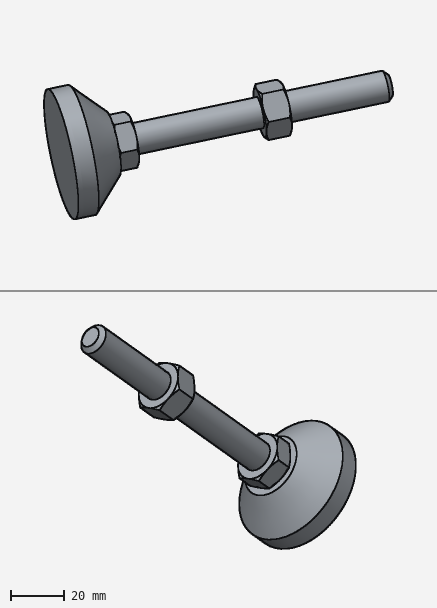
import cadquery as cq
import math

total_length = 128.0

foot_diameter = 50.0
sole_thickness = 2.0
rim_height = 8.0
foot_height = 20.0
foot_top_diameter = 25.0

rod_diameter = 12.0
rod_chamfer = 1.9

across_flats = 19.0
fixed_hex_height = 8.0
lock_nut_height = 10.0
lock_nut_start = 77.3
hex_chamfer_angle = 30.0


def revolve_about_axis(points):
    """Revolve a closed (radius, Y) outline about the Y axis."""
    outline = cq.Workplane("XY").polyline(points).close()
    return outline.revolve(360, (0, 0, 0), (0, 1, 0), clean=False)


def make_foot():
    rim_radius = foot_diameter / 2
    return revolve_about_axis([
        (0, 0),
        (rim_radius, 0),
        (rim_radius, sole_thickness),
        (rim_radius, rim_height),
        (foot_top_diameter / 2, foot_height),
        (0, foot_height),
    ])


def make_rod():
    radius = rod_diameter / 2
    return revolve_about_axis([
        (0, foot_height),
        (radius, foot_height),
        (radius, total_length - rod_chamfer),
        (radius - rod_chamfer, total_length),
        (0, total_length),
    ])


def make_hex(start, height):
    """Hexagon with flats facing +X and -X, corners chamfered at both ends."""
    corner_radius = across_flats / 2 / math.cos(math.radians(30))
    face_radius = across_flats / 2
    corner_drop = (corner_radius - face_radius) * math.tan(math.radians(hex_chamfer_angle))
    end = start + height
    prism = (
        cq.Workplane("XZ", origin=(0, start, 0))
        .transformed(rotate=(0, 0, 90))
        .polygon(6, 2 * corner_radius)
        .extrude(-height)
    )
    envelope = revolve_about_axis([
        (0, start),
        (face_radius, start),
        (corner_radius, start + corner_drop),
        (corner_radius, end - corner_drop),
        (face_radius, end),
        (0, end),
    ])
    return prism.intersect(envelope)


fixed_hex = make_hex(foot_height, fixed_hex_height)
lock_nut = make_hex(lock_nut_start, lock_nut_height)

result = make_foot()
for piece in (make_rod(), fixed_hex, lock_nut):
    result = result.union(piece, clean=False)